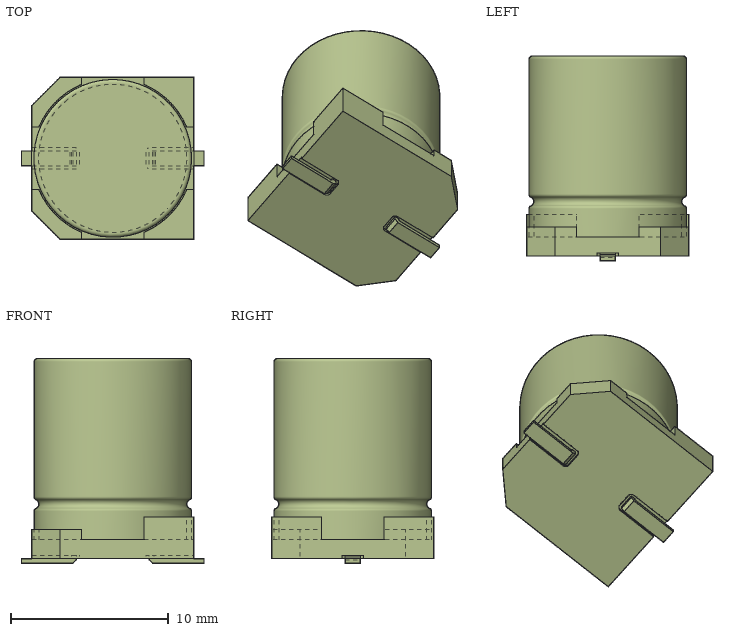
import cadquery as cq
import math

total_height = 13.0
lead_span = 11.6

base_side = 10.3
corner_chamfer = 1.81
base_bottom = 0.3
floor_top = 1.5
low_post_top = 2.16
high_post_top = 2.95
post_gap = 3.98
can_clearance = 0.09

can_radius = 5.0
can_top_fillet = 0.22
groove_height = 3.76
groove_radius = 0.3
groove_lip_radius = 0.2

lead_width = 0.96
lead_thickness = base_bottom
lead_inner_end = 2.31
bend_outer_chamfer = 0.22
bend_inner_chamfer = 0.1
slot_clearance = 0.2
slot_depth = 0.2
slot_corner_radius = 0.25

post_bore_radius = can_radius + can_clearance
half_base = base_side / 2
slot_top = base_bottom + slot_depth


def block(x_min, x_max, width, z_min, z_max):
    """Box between two X positions, centred on Y."""
    return (
        cq.Workplane("XY")
        .box(x_max - x_min, width, z_max - z_min, centered=(False, True, False))
        .translate((x_min, 0, z_min))
    )


def make_base():
    """Square base with two cut corners and four posts standing around the can."""
    plate = block(-half_base, half_base, base_side, base_bottom, floor_top)
    low_posts = block(-half_base, 0, base_side, floor_top, low_post_top)
    high_posts = block(0, half_base, base_side, floor_top, high_post_top)

    gap_along_x = block(-half_base, half_base, post_gap, floor_top, high_post_top)
    gap_along_y = gap_along_x.rotate((0, 0, 0), (0, 0, 1), 90)
    bore = (
        cq.Workplane("XY", origin=(0, 0, floor_top))
        .circle(post_bore_radius)
        .extrude(high_post_top - floor_top)
    )
    posts = low_posts.union(high_posts).cut(gap_along_x).cut(gap_along_y).cut(bore)
    base = plate.union(posts)

    for side in (-1, 1):
        corner = (
            cq.Workplane("XY")
            .polyline([
                (-half_base, side * half_base),
                (-half_base + corner_chamfer, side * half_base),
                (-half_base, side * (half_base - corner_chamfer)),
            ])
            .close()
            .extrude(high_post_top)
        )
        base = base.cut(corner)
    return base


def make_can():
    """Revolved can with a rounded top rim and a rolled groove near the bottom."""
    lip_center_radius = can_radius - groove_lip_radius
    lip_offset = math.sqrt((groove_radius + groove_lip_radius) ** 2 - groove_lip_radius ** 2)
    lip_angle = math.acos(groove_lip_radius / (groove_radius + groove_lip_radius))

    def lip_point(angle, side):
        return (
            lip_center_radius + groove_lip_radius * math.cos(angle),
            groove_height + side * (lip_offset - groove_lip_radius * math.sin(angle)),
        )

    profile = (
        cq.Workplane("XZ")
        .moveTo(0, floor_top)
        .lineTo(can_radius, floor_top)
        .lineTo(*lip_point(0, -1))
        .threePointArc(lip_point(lip_angle / 2, -1), lip_point(lip_angle, -1))
        .threePointArc((can_radius - groove_radius, groove_height), lip_point(lip_angle, 1))
        .threePointArc(lip_point(lip_angle / 2, 1), lip_point(0, 1))
        .lineTo(can_radius, total_height)
        .lineTo(0, total_height)
        .close()
    )
    can = profile.revolve(360, (0, 0, 0), (0, 1, 0))
    return can.faces(">Z").edges().fillet(can_top_fillet)


def make_slot():
    """Slot in the underside at the -X side, open outwards, with rounded inner corners."""
    slot_end = -lead_inner_end + slot_clearance
    slot = block(-half_base, slot_end, lead_width + 2 * slot_clearance, base_bottom, slot_top)
    return slot.edges("|Z and >X").fillet(slot_corner_radius)


def make_lead():
    """Flat lead at the -X side whose inner end bends up to the roof of its slot."""
    outer_end = -lead_span / 2
    leg_inner = -lead_inner_end
    leg_outer = leg_inner - lead_thickness
    return (
        cq.Workplane("XZ")
        .polyline([
            (outer_end, 0),
            (leg_inner - bend_outer_chamfer, 0),
            (leg_inner, bend_outer_chamfer),
            (leg_inner, slot_top),
            (leg_outer, slot_top),
            (leg_outer, lead_thickness + bend_inner_chamfer),
            (leg_outer - bend_inner_chamfer, lead_thickness),
            (outer_end, lead_thickness),
        ])
        .close()
        .extrude(lead_width / 2, both=True)
    )


result = make_base().union(make_can())
for turn in (0, 180):
    slot = make_slot().rotate((0, 0, 0), (0, 0, 1), turn)
    lead = make_lead().rotate((0, 0, 0), (0, 0, 1), turn)
    result = result.cut(slot).union(lead)